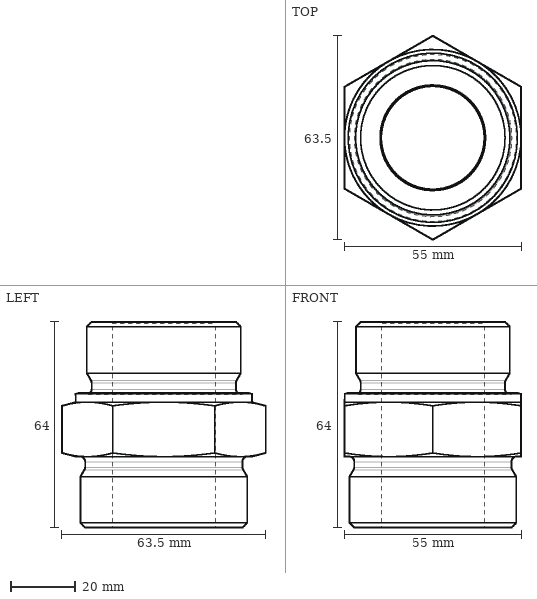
import cadquery as cq
import math

total_height = 64.0
hex_bottom = 22.1
flange_bottom = 39.05
flange_top = 41.9
lower_thread_top = 15.9
upper_thread_bottom = 48.05

hex_across_flats = 55.0
flange_diameter = hex_across_flats
flange_rim_diameter = 52.7
upper_thread_diameter = 48.0
upper_neck_diameter = 45.0
lower_thread_diameter = 52.0
lower_neck_diameter = 49.0
bore_diameter = 32.0

flange_bevel_angle = 15.0
flange_dish_angle = 10.0
thread_chamfer_height = 1.5
bore_chamfer = 0.45
groove_radius = 1.55
runout_angle = 30.0
hex_chamfer_angle = 15.0

dish_width = (flange_rim_diameter - upper_neck_diameter) / 2
dish_bottom = flange_top - dish_width * math.tan(math.radians(flange_dish_angle))


def threaded_end(thread_diameter, neck_diameter, shoulder, shoulder_angle, thread_start, end):
    """Solid spigot with an undercut groove; the shoulder may rise outward at an angle."""
    direction = math.copysign(1, end - shoulder)
    thread_radius = thread_diameter / 2
    neck_radius = neck_diameter / 2
    slope = math.radians(runout_angle)

    cone_foot = thread_start - direction * (thread_radius - neck_radius) / math.tan(slope)
    tangent = groove_radius * math.tan(slope / 2)
    neck_end = cone_foot - direction * tangent
    blend_mid = (
        neck_radius + groove_radius * (1 - math.cos(slope / 2)),
        neck_end + direction * groove_radius * math.sin(slope / 2),
    )
    blend_end = (
        neck_radius + tangent * math.sin(slope),
        cone_foot + direction * tangent * math.cos(slope),
    )

    rise = math.radians(shoulder_angle)
    root_tangent = groove_radius / math.tan((math.pi / 2 - rise) / 2)
    root_center_z = shoulder + direction * root_tangent
    mid_angle = math.pi / 4 + rise / 2
    root_start = (
        neck_radius + root_tangent * math.cos(rise),
        shoulder + direction * root_tangent * math.sin(rise),
    )
    root_mid = (
        neck_radius + groove_radius * (1 - math.cos(mid_angle)),
        root_center_z - direction * groove_radius * math.sin(mid_angle),
    )

    return (
        cq.Workplane("XZ")
        .moveTo(0, shoulder)
        .lineTo(neck_radius, shoulder)
        .lineTo(*root_start)
        .threePointArc(root_mid, (neck_radius, root_center_z))
        .lineTo(neck_radius, neck_end)
        .threePointArc(blend_mid, blend_end)
        .lineTo(thread_radius, thread_start)
        .lineTo(thread_radius, end - direction * thread_chamfer_height)
        .lineTo(neck_radius, end)
        .lineTo(0, end)
        .close()
        .revolve(360, (0, 0), (0, 1))
    )


def hexagon():
    """Hexagon with two flats facing +X and -X and its corners chamfered at both ends."""
    corner_radius = hex_across_flats / 2 / math.cos(math.pi / 6)
    flat_radius = hex_across_flats / 2
    corner_drop = (corner_radius - flat_radius) * math.tan(math.radians(hex_chamfer_angle))
    prism = (
        cq.Workplane("XY", origin=(0, 0, hex_bottom))
        .polygon(6, 2 * corner_radius)
        .extrude(flange_bottom - hex_bottom)
        .rotate((0, 0, 0), (0, 0, 1), 30)
    )
    chamfer_envelope = (
        cq.Workplane("XZ")
        .polyline([
            (0, hex_bottom),
            (flat_radius, hex_bottom),
            (corner_radius, hex_bottom + corner_drop),
            (corner_radius, flange_bottom - corner_drop),
            (flat_radius, flange_bottom),
            (0, flange_bottom),
        ])
        .close()
        .revolve(360, (0, 0), (0, 1))
    )
    return prism.intersect(chamfer_envelope)


def flange():
    """Round collar on the hexagon, bevelled outside its rim and dished inside it."""
    outer_radius = flange_diameter / 2
    rim_radius = flange_rim_diameter / 2
    bevel_drop = (outer_radius - rim_radius) * math.tan(math.radians(flange_bevel_angle))
    return (
        cq.Workplane("XZ")
        .polyline([
            (0, flange_bottom),
            (outer_radius, flange_bottom),
            (outer_radius, flange_top - bevel_drop),
            (rim_radius, flange_top),
            (upper_neck_diameter / 2, dish_bottom),
            (0, dish_bottom),
        ])
        .close()
        .revolve(360, (0, 0), (0, 1))
    )


def bore():
    """Through bore with a small chamfer at the top mouth."""
    bore_radius = bore_diameter / 2
    return (
        cq.Workplane("XZ")
        .polyline([
            (0, 0),
            (bore_radius, 0),
            (bore_radius, total_height - bore_chamfer),
            (bore_radius + bore_chamfer, total_height),
            (0, total_height),
        ])
        .close()
        .revolve(360, (0, 0), (0, 1))
    )


upper_end = threaded_end(
    upper_thread_diameter,
    upper_neck_diameter,
    dish_bottom,
    flange_dish_angle,
    upper_thread_bottom,
    total_height,
)
lower_end = threaded_end(
    lower_thread_diameter,
    lower_neck_diameter,
    hex_bottom,
    0,
    lower_thread_top,
    0,
)
result = hexagon().union(flange()).union(upper_end).union(lower_end).cut(bore())